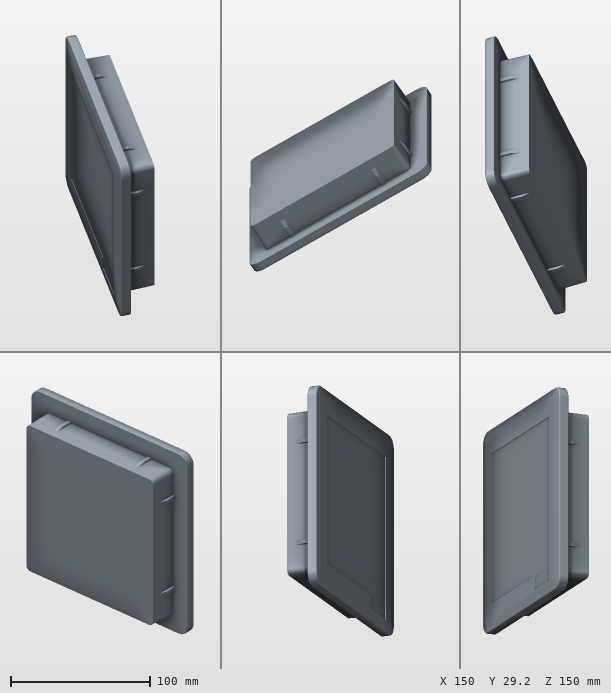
import cadquery as cq
import math

panel_side = 150.0
total_depth = 29.2

bezel_depth = 7.8
bezel_corner_radius = 9.0
bezel_slope_rise = 0.8
bezel_slope_width = 7.8
bezel_edge_fillet = 1.0
bezel_back_chamfer = 0.3
bezel_rim_depth = bezel_depth - bezel_slope_rise

screen_width = 114.0
screen_height = 111.6
screen_recess = 0.6
tag_width = 30.0
tag_height = 10.4
tag_recess = 0.8

housing_base_side = 122.2
housing_back_side = 121.4
housing_corner_radius = 3.9
housing_offset_z = -1.0
housing_depth = total_depth - bezel_depth
housing_draft = math.degrees(math.atan((housing_base_side - housing_back_side) / 2 / housing_depth))

rib_spacing_x = 76.8
rib_spacing_z = 75.9
rib_length = 14.1
rib_flat_length = 8.2
rib_reach = 62.4
rib_root_width = 4.0
rib_crest_width = 3.2
rib_embed = 4.5
rib_draft = 1.7

front_y = -bezel_depth

selection_margin = 0.02


def back_plane(direction, z=0.0):
    """Plane of the bezel back, centred at height z: local x is X, normal is +Y or -Y."""
    return cq.Plane(origin=(0, 0, z), xDir=(1, 0, 0), normal=(0, direction, 0))


def make_bezel():
    rim = (
        cq.Workplane(back_plane(-1))
        .rect(panel_side, panel_side)
        .extrude(bezel_rim_depth)
        .edges("|Y")
        .fillet(bezel_corner_radius)
    )
    slope_angle = math.degrees(math.atan(bezel_slope_width / bezel_slope_rise))
    slope = (
        rim.faces("<Y")
        .wires()
        .toPending()
        .workplane()
        .extrude(bezel_slope_rise, taper=slope_angle, combine=False)
    )
    rim_edges = cq.selectors.BoxSelector(
        (-panel_side, -bezel_rim_depth - selection_margin, -panel_side),
        (panel_side, -bezel_rim_depth + selection_margin, panel_side),
    )
    bezel = rim.union(slope).edges(rim_edges).fillet(bezel_edge_fillet)
    return bezel.faces(">Y").edges().chamfer(bezel_back_chamfer)


def make_front_recess(width, height, depth, center_x, center_z):
    return cq.Workplane("XY").box(width, depth, height).translate(
        (center_x, front_y + depth / 2, center_z)
    )


def make_housing():
    return (
        cq.Workplane(back_plane(1, housing_offset_z))
        .rect(housing_base_side, housing_base_side)
        .extrude(housing_depth, taper=housing_draft)
        .edges("not(|X or |Z)")
        .fillet(housing_corner_radius)
    )


def make_rib():
    """Rib on the +X side of a housing centred on the Y axis."""
    root_x = housing_base_side / 2
    inner_x = root_x - rib_embed
    side_slope = (rib_root_width - rib_crest_width) / 2 / (rib_reach - root_x)
    tip_x = root_x - rib_length * math.tan(math.radians(housing_draft))
    peak_x = root_x + rib_root_width / 2 / side_slope
    wedge = (
        cq.Workplane(back_plane(1))
        .polyline([
            (inner_x, -rib_root_width / 2),
            (root_x, -rib_root_width / 2),
            (peak_x, 0),
            (root_x, rib_root_width / 2),
            (inner_x, rib_root_width / 2),
        ])
        .close()
        .extrude(rib_length, taper=rib_draft)
    )
    side_profile = (
        cq.Workplane("XY")
        .polyline([
            (inner_x, 0),
            (rib_reach, 0),
            (rib_reach, rib_flat_length),
            (tip_x, rib_length),
            (inner_x, rib_length),
        ])
        .close()
        .extrude(rib_root_width, both=True)
    )
    return wedge.intersect(side_profile)


screen = make_front_recess(screen_width, screen_height, screen_recess, 0, 0)
tag = make_front_recess(
    tag_width,
    tag_height,
    tag_recess,
    (screen_width - tag_width) / 2,
    -(screen_height + tag_height) / 2,
)

result = make_bezel().cut(screen).cut(tag).union(make_housing())

rib = make_rib()
for side_angle in (0, 90, 180, 270):
    spacing = rib_spacing_z if side_angle in (0, 180) else rib_spacing_x
    for along in (-spacing / 2, spacing / 2):
        placed_rib = (
            rib.translate((0, 0, along))
            .rotate((0, 0, 0), (0, 1, 0), side_angle)
            .translate((0, 0, housing_offset_z))
        )
        result = result.union(placed_rib)